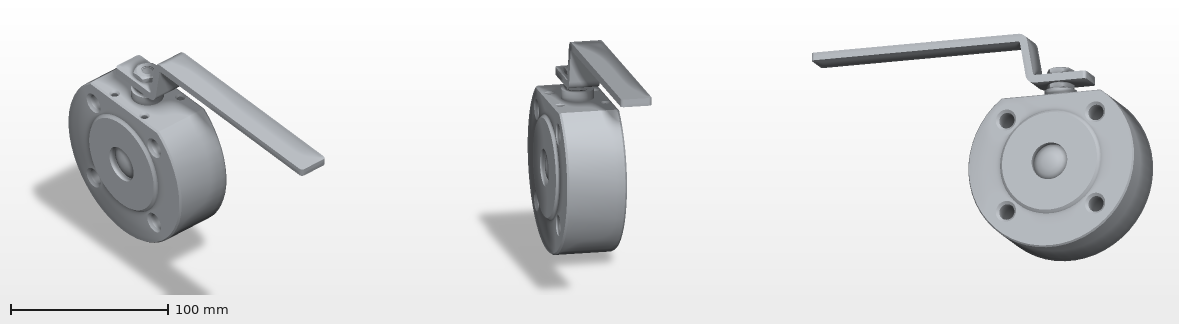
import cadquery as cq
import math


overall_length = 220.9
body_radius = 55.9
body_width = 39.0
flat_height = 44.8
rim_chamfer_radial = 0.9
rim_chamfer_axial = 1.3

overall_width = 43.0
face_diameter = 68.0
face_height = (overall_width - body_width) / 2

bore_diameter = 24.0
ball_diameter = 41.5

bolt_circle_diameter = 85.0
bolt_hole_diameter = 10.2
bolt_countersink_diameter = 13.7

mount_circle_diameter = 42.0
mount_hole_diameter = 4.2
mount_countersink_diameter = 6.6
mount_hole_depth = 8.8
mount_drill_point_angle = 118.0

collar_diameter = 21.0
collar_height = 6.2
nut_flats = 16.0
nut_height = 4.6
nut_chamfer_angle = 30.0
nut_seat_diameter = 14.1
recess_diameter = 8.5
recess_depth = 0.7
recess_core_diameter = 6.8
recess_core_depth = 1.0

lever_top = 88.8
lever_width = 20.0
lever_thickness = 5.0
lever_start = -20.3
lever_end = overall_length - body_radius
lever_bend_start = 15.0
lever_lean = 10.0
lever_inner_bend = 1.0
lever_corner_radius = 2.2

collar_top = flat_height + collar_height
lever_bottom = collar_top + nut_height
lever_seat_top = lever_bottom + lever_thickness
nut_top = lever_seat_top + nut_height


def turned_about_y(profile):
    """Revolve a closed (radius, y) profile about the Y axis."""
    return cq.Workplane("XY").polyline(profile).close().revolve(360, (0, 0, 0), (0, 1, 0))


def countersunk_drill(hole_diameter, countersink_diameter, depth, point_angle=180):
    """45 degree countersunk drill along +Z, mouth at the origin; a 180 degree point is flat."""
    hole_radius = hole_diameter / 2
    mouth_radius = countersink_diameter / 2
    point_height = hole_radius / math.tan(math.radians(point_angle / 2))
    profile = [
        (0, 0),
        (mouth_radius, 0),
        (hole_radius, mouth_radius - hole_radius),
        (hole_radius, depth),
        (0, depth + point_height),
    ]
    return cq.Workplane("XZ").polyline(profile).close().revolve(360, (0, 0, 0), (0, 1, 0))


def disc_outline():
    """Circle cut off by the flat top, drawn across the flow bore."""
    half_chord = math.sqrt(body_radius**2 - flat_height**2)
    return (
        cq.Workplane("XZ")
        .moveTo(-half_chord, flat_height)
        .threePointArc((0, -body_radius), (half_chord, flat_height))
        .close()
    )


def make_disc():
    """Flat-topped disc with bevelled rims on both sides."""
    middle_half_width = body_width / 2 - rim_chamfer_axial
    disc = disc_outline().extrude(middle_half_width, both=True)
    bevel_taper = math.degrees(math.atan2(rim_chamfer_radial, rim_chamfer_axial))
    bevel = disc_outline().extrude(rim_chamfer_axial, taper=bevel_taper)
    bevel = bevel.translate((0, -middle_half_width, 0))
    return disc.union(bevel).union(bevel.mirror("XZ"))


def make_raised_faces():
    """Sealing faces with 45 degree conical edges, modelled as one turned core."""
    face_radius = face_diameter / 2
    half_body = body_width / 2
    half_overall = overall_width / 2
    return turned_about_y([
        (0, -half_overall),
        (face_radius - face_height, -half_overall),
        (face_radius, -half_body),
        (face_radius, half_body),
        (face_radius - face_height, half_overall),
        (0, half_overall),
    ])


def make_body():
    """Disc and sealing faces with the closed bore, bolt holes and mounting holes."""
    body = make_disc().union(make_raised_faces())
    bore = cq.Workplane("XZ").circle(bore_diameter / 2).extrude(overall_width, both=True)
    ball = cq.Workplane("XY").sphere(ball_diameter / 2)
    body = body.cut(bore.cut(ball))

    bolt_offset = bolt_circle_diameter / 2 * math.sin(math.pi / 4)
    half_drill = countersunk_drill(bolt_hole_diameter, bolt_countersink_diameter, body_width / 2)
    front_drill = half_drill.rotate((0, 0, 0), (1, 0, 0), -90).translate((0, -body_width / 2, 0))
    bolt_drill = front_drill.union(front_drill.mirror("XZ"))

    mount_offset = mount_circle_diameter / 2 * math.sin(math.pi / 4)
    mount_drill = countersunk_drill(
        mount_hole_diameter, mount_countersink_diameter, mount_hole_depth, mount_drill_point_angle
    ).rotate((0, 0, 0), (1, 0, 0), 180)

    for x_side in (-1, 1):
        for side in (-1, 1):
            body = body.cut(bolt_drill.translate((x_side * bolt_offset, 0, side * bolt_offset)))
            mount_place = (x_side * mount_offset, side * mount_offset, flat_height)
            body = body.cut(mount_drill.translate(mount_place))
    return body


def make_nut(bottom):
    """Hexagon nut with corners across X, bevelled at both ends."""
    corner_radius = nut_flats / math.sqrt(3)
    seat_radius = nut_seat_diameter / 2
    bevel = (corner_radius - seat_radius) * math.tan(math.radians(nut_chamfer_angle))
    hexagon = cq.Workplane("XY").polygon(6, 2 * corner_radius).extrude(nut_height)
    envelope = (
        cq.Workplane("XZ")
        .polyline([
            (0, 0),
            (seat_radius, 0),
            (corner_radius, bevel),
            (corner_radius, nut_height - bevel),
            (seat_radius, nut_height),
            (0, nut_height),
        ])
        .close()
        .revolve(360, (0, 0, 0), (0, 1, 0))
    )
    return hexagon.intersect(envelope).translate((0, 0, bottom))


def make_stem():
    """Collar and two nuts; the upper nut has a stepped round recess in its top."""
    collar = (
        cq.Workplane("XY").workplane(offset=flat_height)
        .circle(collar_diameter / 2).extrude(collar_height)
    )
    recess = (
        cq.Workplane("XY").workplane(offset=nut_top)
        .circle(recess_diameter / 2).extrude(-recess_depth)
    )
    recess_core = (
        cq.Workplane("XY").workplane(offset=nut_top)
        .circle(recess_core_diameter / 2).extrude(-recess_core_depth)
    )
    upper_nut = make_nut(lever_seat_top).cut(recess).cut(recess_core)
    return collar.union(make_nut(collar_top)).union(upper_nut)


def make_lever():
    """Flat bar with two opposite bends that raise the handle above the nuts."""
    lean = math.radians(lever_lean)
    miter_shift = lever_thickness * math.tan((math.pi / 2 - lean) / 2)
    rise = lever_top - lever_seat_top
    upper_bend_start = lever_bend_start + rise * math.tan(lean)
    lower_inner = (lever_bend_start, lever_seat_top)
    lower_outer = (lever_bend_start + miter_shift, lever_bottom)
    upper_outer = (upper_bend_start, lever_top)
    upper_inner = (upper_bend_start + miter_shift, lever_top - lever_thickness)
    lever = (
        cq.Workplane("XZ")
        .polyline([
            (lever_start, lever_bottom),
            lower_outer,
            upper_inner,
            (lever_end, lever_top - lever_thickness),
            (lever_end, lever_top),
            upper_outer,
            lower_inner,
            (lever_start, lever_seat_top),
        ])
        .close()
        .extrude(lever_width / 2, both=True)
    )

    def round_bend(solid, corner, radius):
        edge = cq.selectors.NearestToPointSelector((corner[0], 0, corner[1]))
        return solid.edges("|Y").edges(edge).fillet(radius)

    for corner in (lower_inner, upper_inner):
        lever = round_bend(lever, corner, lever_inner_bend)
    for corner in (lower_outer, upper_outer):
        lever = round_bend(lever, corner, lever_inner_bend + lever_thickness)
    return lever.edges("|Z").fillet(lever_corner_radius)


result = make_body().union(make_stem()).union(make_lever())